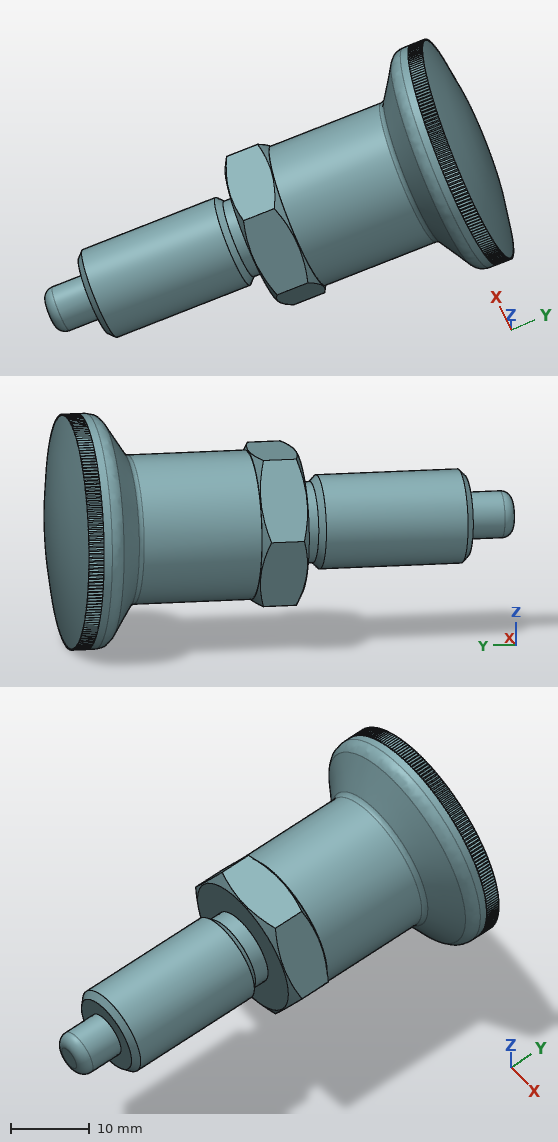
import cadquery as cq
import math


pin_diameter = 6.0
pin_length = 6.0
pin_tip_radius = 1.5

sleeve_diameter = 12.0
sleeve_end_y = -22.0
sleeve_chamfer = 0.85
neck_diameter = sleeve_diameter - 2 * sleeve_chamfer
neck_length = 2.0

hex_across_flats = 19.0
hex_height = 6.1
hex_chamfer_diameter = 18.7
hex_chamfer_angle = 30

overall_length = 59.4
knob_diameter = 30.0
collar_diameter = hex_across_flats
dome_height = 1.9
knurl_width = 1.95
knurl_depth = 0.2
knurl_count = 200
flare_top_y = 25.45
flare_bottom_y = 21.8
rim_fillet = 2.0
collar_fillet = 0.85

pin_tip_y = sleeve_end_y - pin_length
knob_top_y = pin_tip_y + overall_length
dome_base_y = knob_top_y - dome_height
knurl_base_y = dome_base_y - knurl_width
knob_radius = knob_diameter / 2

AXIS_START = (0, 0, 0)
AXIS_END = (0, 1, 0)


def cylinder(diameter, start_y, length):
    """Cylinder on the Y axis, running from start_y towards +Y."""
    return (
        cq.Workplane("XZ", origin=(0, start_y, 0))
        .circle(diameter / 2)
        .extrude(-length)
    )


def make_hexagon():
    """Hexagon with flats facing +Z and -Z and its corners bevelled at both ends."""
    corner_radius = hex_across_flats / 2 / math.cos(math.radians(30))
    bevel_radius = hex_chamfer_diameter / 2
    bevel_height = (corner_radius - bevel_radius) * math.tan(math.radians(hex_chamfer_angle))
    prism = cq.Workplane("XZ").polygon(6, 2 * corner_radius).extrude(-hex_height)
    bevelled_blank = (
        cq.Workplane("XY")
        .lineTo(bevel_radius, 0)
        .lineTo(corner_radius, bevel_height)
        .lineTo(corner_radius, hex_height - bevel_height)
        .lineTo(bevel_radius, hex_height)
        .lineTo(0, hex_height)
        .close()
        .revolve(360, AXIS_START, AXIS_END)
    )
    return prism.intersect(bevelled_blank)


def make_housing():
    """Hexagon, relief neck, threaded sleeve and round-nosed pin in one piece."""
    neck = cylinder(neck_diameter, -neck_length, neck_length)
    sleeve_length = -neck_length - sleeve_end_y
    sleeve = cylinder(sleeve_diameter, sleeve_end_y, sleeve_length).edges().chamfer(sleeve_chamfer)
    pin = cylinder(pin_diameter, pin_tip_y, pin_length).edges("<Y").fillet(pin_tip_radius)
    return make_hexagon().union(neck).union(sleeve).union(pin)


def dome_point(radius):
    """Point of the spherical dome at the given distance from the axis."""
    sphere_radius = (knob_radius**2 + dome_height**2) / (2 * dome_height)
    sphere_center_y = knob_top_y - sphere_radius
    return radius, sphere_center_y + math.sqrt(sphere_radius**2 - radius**2)


def circle_at(y):
    """Selector for the circular edge centred on the axis at the given Y."""
    return cq.selectors.NearestToPointSelector((0, y, 0))


def make_knob_blank():
    """Turned knob: straight collar, flared underside with rounded bends, domed top."""
    collar_radius = collar_diameter / 2
    blank = (
        cq.Workplane("XY")
        .moveTo(0, hex_height)
        .lineTo(collar_radius, hex_height)
        .lineTo(collar_radius, flare_bottom_y)
        .lineTo(knob_radius, flare_top_y)
        .lineTo(knob_radius, dome_base_y)
        .threePointArc(dome_point(knob_radius / 2), (0, knob_top_y))
        .close()
        .revolve(360, AXIS_START, AXIS_END)
    )
    blank = blank.edges(circle_at(flare_top_y)).fillet(rim_fillet)
    return blank.edges(circle_at(flare_bottom_y)).fillet(collar_fillet)


def ring_point(radius, step):
    """Point in the knurl cross-section; one step is half a tooth pitch."""
    angle = step * math.pi / knurl_count
    return radius * math.cos(angle), radius * math.sin(angle)


def make_knurl_grooves():
    """Ring of V-grooves parallel to the axis, to be cut from the knob's rim."""
    root_radius = knob_radius - knurl_depth
    outline = []
    for tooth in range(knurl_count):
        outline.append(ring_point(knob_radius, 2 * tooth))
        outline.append(ring_point(root_radius, 2 * tooth + 1))
    toothed_disc = (
        cq.Workplane("XZ", origin=(0, knurl_base_y, 0))
        .polyline(outline)
        .close()
        .extrude(-knurl_width)
    )
    ring_diameter = knob_diameter + 2 * knurl_depth
    return cylinder(ring_diameter, knurl_base_y, knurl_width).cut(toothed_disc)


def make_knob():
    """Domed pull knob with a straight-knurled rim."""
    return make_knob_blank().cut(make_knurl_grooves())


housing = make_housing()
knob = make_knob()
result = cq.Compound.makeCompound([housing.val(), knob.val()])